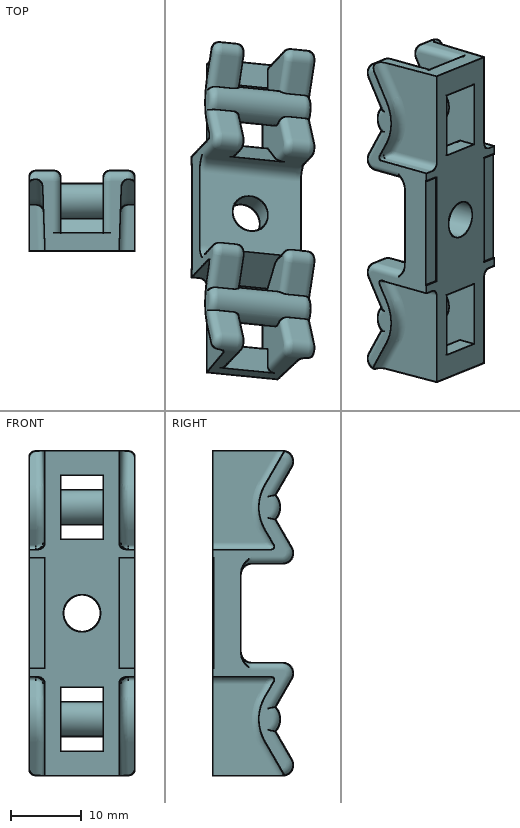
import cadquery as cq
import math


length = 46.0
width = 15.0
depth = 11.4
half_length = length / 2
half_width = width / 2

slab_depth = 4.0
corner_radius = 1.5
screw_hole_diameter = 5.2

block_start = 7.0
block_middle = (block_start + half_length) / 2
edge_radius = 1.0

channel_width = 6.0
channel_floor = 2.58
window_height = 9.0
gusset_angle = 36.0

flank_angle = 30.0
tip_radius = 1.5
flange_thickness = 2.02

bar_radius = 2.5
bar_depth = 7.1

pocket_half_width = 5.25
pocket_draft = 2.0
pocket_corner_radius = 0.4
pocket_arc_radius = 6.25

label_length = 15.65
label_recess = 0.2

flank_sin = math.sin(math.radians(flank_angle))
flank_cos = math.cos(math.radians(flank_angle))
flank_tan = flank_sin / flank_cos

tip_depth = depth - tip_radius
tip_offset = half_length - tip_radius - block_middle

notch_bottom = tip_depth + tip_radius / flank_cos - tip_offset * flank_tan

pocket_arc_depth = notch_bottom + (pocket_arc_radius - flange_thickness) / flank_cos

overrun = 2.3


def box(x_range, y_range, z_range):
    """Box spanning the given (low, high) ranges."""
    sizes = [high - low for low, high in (x_range, y_range, z_range)]
    corner = (x_range[0], y_range[0], z_range[0])
    return cq.Workplane("XY").box(*sizes, centered=False).translate(corner)


def wall_profile():
    """Outline of a side wall in the YZ plane, from the back face to the round tips."""
    tip_end_y = tip_depth + tip_radius * flank_cos
    tip_end_z = tip_offset - tip_radius * flank_sin
    mid_angle = math.radians((90 - flank_angle) / 2)
    tip_mid_y = tip_depth + tip_radius * math.cos(mid_angle)
    tip_mid_z = tip_offset + tip_radius * math.sin(mid_angle)
    return (
        cq.Workplane("YZ")
        .moveTo(0, half_length)
        .lineTo(tip_depth, half_length)
        .threePointArc((tip_mid_y, block_middle + tip_mid_z), (tip_end_y, block_middle + tip_end_z))
        .lineTo(notch_bottom, block_middle)
        .lineTo(tip_end_y, block_middle - tip_end_z)
        .threePointArc((tip_mid_y, block_middle - tip_mid_z), (tip_depth, block_start))
        .lineTo(0, block_start)
        .close()
    )


def side_wall(x_start):
    """Side wall with the rims of both faces rounded, except along the back face."""
    wall = wall_profile().extrude((width - channel_width) / 2)
    rims = wall.faces("<X or >X").edges("not(<Y)")
    wall = rims.fillet(edge_radius)
    return wall.translate((x_start, 0, 0))


def cross_bar():
    """Round bar through both walls, with rounded ends flush with the wall faces."""
    bar = cq.Workplane("YZ").circle(bar_radius).extrude(half_width, both=True)
    bar = bar.faces("<X or >X").edges().fillet(edge_radius)
    return bar.translate((0, bar_depth, block_middle))


def gusset():
    """Sloped web between the walls, from the window edge up to the inner end of the block."""
    window_edge = block_middle - window_height / 2
    rise = (window_edge - block_start) / math.tan(math.radians(gusset_angle))
    outline = [
        (0, window_edge),
        (channel_floor, window_edge),
        (channel_floor + rise, block_start),
        (0, block_start),
    ]
    half_span = channel_width / 2 + edge_radius
    return cq.Workplane("YZ").polyline(outline).close().extrude(half_span, both=True)


def slab_corner():
    """Concave corner between the slab and the block end, wrapping around the rounded wall edges."""
    turn_axis_x = half_width - edge_radius
    back = block_start + edge_radius
    front = block_start - corner_radius
    top = slab_depth + corner_radius

    def section(offset):
        """Section in the YZ plane, shifted by the given distance along -Z."""
        mid_y = top - corner_radius * math.sqrt(0.5)
        mid_z = front + corner_radius * math.sqrt(0.5)
        return (
            cq.Workplane("YZ")
            .moveTo(0, back - offset)
            .lineTo(top, back - offset)
            .lineTo(top, block_start - offset)
            .threePointArc((mid_y, mid_z - offset), (slab_depth, front - offset))
            .lineTo(0, front - offset)
            .close()
        )

    corner = section(0).extrude(turn_axis_x, both=True)
    turned = section(back).revolve(360, (0, 0, 0), (1, 0, 0))
    for side in (-1, 1):
        corner = corner.union(turned.translate((side * turn_axis_x, 0, back)))
    envelope = box((-half_width, half_width), (0, depth), (0, half_length))
    return corner.intersect(envelope)


def side_pocket():
    """Cutter for the drafted pocket that leaves a flange under the notch on the -X side."""
    arc_y = pocket_arc_depth - pocket_arc_radius * flank_cos
    arc_z = pocket_arc_radius * flank_sin
    pocket_bottom = block_start + flange_thickness
    top_z = half_length + overrun
    top_y = arc_y + (top_z - block_middle - arc_z) * flank_tan
    bottom_y = arc_y + (block_middle - arc_z - pocket_bottom) * flank_tan
    outline = (
        cq.Workplane("YZ")
        .moveTo(-overrun, top_z)
        .lineTo(top_y, top_z)
        .lineTo(arc_y, block_middle + arc_z)
        .threePointArc((pocket_arc_depth - pocket_arc_radius, block_middle), (arc_y, block_middle - arc_z))
        .lineTo(bottom_y, pocket_bottom)
        .lineTo(-overrun, pocket_bottom)
        .close()
    )
    block = outline.extrude(-half_width)
    floor_side = box((-width, 0), (-depth, 2 * depth), (0, length))
    floor_side = floor_side.rotate((0, 0, 0), (0, 0, 1), pocket_draft)
    floor_side = floor_side.translate((-pocket_half_width, 0, 0))
    sharp_corner = cq.selectors.NearestToPointSelector((-half_width / 2, bottom_y, pocket_bottom))
    cutter = block.edges(sharp_corner).fillet(pocket_corner_radius).intersect(floor_side)
    return cutter.faces(">X").edges().fillet(edge_radius)


def end_block():
    """Upper half of the part without the screw hole and label recesses."""
    block = box((-half_width, half_width), (0, channel_floor), (0, half_length))
    block = block.union(box((-half_width, half_width), (0, slab_depth), (0, block_start)))
    block = block.union(slab_corner())
    block = block.union(side_wall(-half_width))
    block = block.union(side_wall(channel_width / 2))
    block = block.union(gusset())
    block = block.union(cross_bar())
    pocket = side_pocket()
    block = block.cut(pocket).cut(pocket.mirror("YZ"))
    window = cq.Workplane("XY").box(channel_width, 2 * channel_floor, window_height)
    return block.cut(window.translate((0, 0, block_middle)))


def label_cutter():
    """Cutter for the shallow label recesses on both edges of the back face."""
    recess = box(
        (pocket_half_width, width),
        (-overrun, label_recess),
        (-label_length / 2, label_length / 2),
    )
    return recess.union(recess.mirror("YZ"))


upper = end_block()
result = upper.union(upper.mirror("XY")).cut(label_cutter())
screw_hole = cq.Workplane("XZ").circle(screw_hole_diameter / 2).extrude(depth, both=True)
result = result.cut(screw_hole)